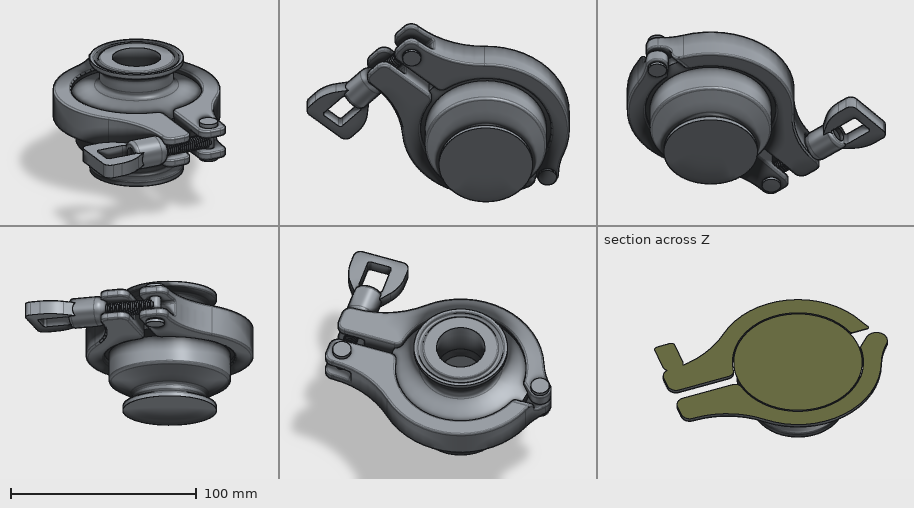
import cadquery as cq
import math

BODY_HEIGHT = 65.0
FERRULE_RADIUS = 50.5 / 2
FERRULE_RIM = 2.7
FERRULE_RIM_FILLET = 0.8
FERRULE_ANGLE = math.radians(20)
NECK_FILLET = 2.0
NECK_RADIUS = 20.0
SHELL_RADIUS = 65.5 / 2
SHELL_CORNER_FILLET = 2.0
LOWER_CONE_ANGLE = math.radians(30)
LOWER_CONE_TIP_Z = 9.2
FLANGE_RADIUS = 77.5 / 2
UPPER_CONE_TIP_Z = 49.85
SHOULDER_FILLET = 4.0
BORE_RADIUS = 26.0 / 2
BORE_SEAT_RADIUS = 22.6 / 2
BORE_DEPTH = 20.0
BORE_SEAT_HEIGHT = 4.0
GASKET_GROOVE_RADIUS = 43.4 / 2
GASKET_GROOVE_HALF_WIDTH = 1.3
GASKET_GROOVE_DEPTH = 1.5
GASKET_GROOVE_LIP = 0.7

CLAMP_THICKNESS = 17.0
CLAMP_MID_Z = 38.5
CLAMP_OUTER_RADIUS = 45.0
CLAMP_OPENING_RADIUS = 35.2
CLAMP_EDGE_FILLET = 1.0
SLIT_HALF_WIDTH = 2.95
SLIT_CORNER_RADIUS = 4.0
LUG_END_X = 72.0
LUG_OUTER_Y = 18.75
LUG_CORNER_RADIUS = 5.0
SHOULDER_X = 66.2
HINGE_X = -45.0
KNUCKLE_RADIUS = 6.0
KNUCKLE_GAP = 2.0
HINGE_FLANK_RADIUS = 37.0
HINGE_CUT_Y = 4.5
HINGE_CUT_END_X = -28.0
HINGE_CUT_UPPER_RADIUS = 4.5
HINGE_CUT_LOWER_RADIUS = 5.1

PIN_RADIUS = 6.0 / 2
PIN_HEAD_RADIUS = 10.0 / 2
PIN_UPPER_HEAD_THICKNESS = 2.25
PIN_LOWER_HEAD_THICKNESS = 1.7
PIN_COLLAR_RADIUS = 4.25
PIN_COLLAR_LENGTH = 0.6

BOLT_X = 63.9
HANDLE_X = 63.6
BOLT_PIVOT_Y = 10.7
BOLT_Z = 38.0
BOLT_SLOT_WIDTH = 8.5
BOLT_SLOT_START_X = 55.9
BOLT_SLOT_CORNER_RADIUS = 1.5
BOLT_SLOT_EDGE_FILLET = 0.8
THREAD_CREST_RADIUS = 7.57 / 2
THREAD_ROOT_RADIUS = 6.5 / 2
THREAD_PITCH = 1.25
BOLT_END_Y = -34.0
NUT_RADIUS = 16.0 / 2
NUT_SEAT_Y = -16.0
NUT_END_Y = -36.3
NUT_SEAT_FILLET = 5.5
NUT_END_FILLET = 1.8
NUT_BORE_RADIUS = 4.3
HANDLE_THICKNESS = 7.4
HANDLE_HALF_WIDTH = 15.4
HANDLE_END_Y = -58.74
HANDLE_CORNER_RADIUS = 4.0
HANDLE_SHOULDER_Y = -49.5
HANDLE_SHOULDER_RADIUS = 20.0
HANDLE_TAPER_ANGLE = math.radians(37)
HANDLE_TOP_Y = -32.0
WINDOW_HALF_WIDTH = 6.65
WINDOW_END_Y = -53.7
WINDOW_CORNER_RADIUS = 1.5

MATCH_TOLERANCE = 1e-4

CLAMP_TOP_Z = CLAMP_MID_Z + CLAMP_THICKNESS / 2
CLAMP_BOTTOM_Z = CLAMP_MID_Z - CLAMP_THICKNESS / 2


def on_circle(center, radius, angle):
    return (center[0] + radius * math.cos(angle), center[1] + radius * math.sin(angle))


def angle_from(center, point):
    return math.atan2(point[1] - center[1], point[0] - center[0])


def arc_to(sketch, center, start_angle, end_angle, radius):
    """Extend the outline along a circular arc between two angles about a centre."""
    middle = on_circle(center, radius, (start_angle + end_angle) / 2)
    return sketch.threePointArc(middle, on_circle(center, radius, end_angle))


def add_neck_fillet(sketch, cone_angle, tip_z, radius, neck_above, neck_first):
    """Round the corner where a cone widens from the neck; tip_z is the sharp corner."""
    side = 1 if neck_above else -1
    setback = radius * math.tan((math.pi / 2 - cone_angle) / 2)
    neck_end = (NECK_RADIUS, tip_z + side * setback)
    center = (NECK_RADIUS + radius, neck_end[1])
    cone_side_angle = -side * (math.pi / 2 + cone_angle)
    neck_side_angle = -side * math.pi
    if neck_first:
        return arc_to(sketch.lineTo(*neck_end), center, neck_side_angle, cone_side_angle, radius)
    sketch = sketch.lineTo(*on_circle(center, radius, cone_side_angle))
    return arc_to(sketch, center, cone_side_angle, neck_side_angle, radius)


def circle_edge(body, radius, z):
    """Select the circular edge of the given radius at the given height."""
    return body.edges("%CIRCLE").filter(
        lambda edge: math.isclose(edge.radius(), radius, rel_tol=MATCH_TOLERANCE)
        and math.isclose(edge.Center().z, z, rel_tol=MATCH_TOLERANCE)
    )


def make_body():
    ferrule_cone_height = (FERRULE_RADIUS - NECK_RADIUS) * math.tan(FERRULE_ANGLE)
    ferrule_tip = FERRULE_RIM + ferrule_cone_height
    flange_half_height = (
        UPPER_CONE_TIP_Z - (FLANGE_RADIUS - NECK_RADIUS) * math.tan(FERRULE_ANGLE) - CLAMP_MID_Z
    )
    flange_bottom = CLAMP_MID_Z - flange_half_height
    shell_top = flange_bottom - (FLANGE_RADIUS - SHELL_RADIUS) * math.tan(FERRULE_ANGLE)
    shell_bottom = LOWER_CONE_TIP_Z + (SHELL_RADIUS - NECK_RADIUS) * math.tan(LOWER_CONE_ANGLE)

    profile = cq.Workplane("XZ").moveTo(0, 0).lineTo(FERRULE_RADIUS, 0)
    profile = profile.lineTo(FERRULE_RADIUS, FERRULE_RIM)
    profile = add_neck_fillet(profile, FERRULE_ANGLE, ferrule_tip, NECK_FILLET, True, False)
    profile = add_neck_fillet(profile, LOWER_CONE_ANGLE, LOWER_CONE_TIP_Z, NECK_FILLET, False, True)
    profile = profile.lineTo(SHELL_RADIUS, shell_bottom).lineTo(SHELL_RADIUS, shell_top)
    profile = profile.lineTo(FLANGE_RADIUS, flange_bottom)
    profile = profile.lineTo(FLANGE_RADIUS, CLAMP_MID_Z + flange_half_height)
    profile = add_neck_fillet(profile, FERRULE_ANGLE, UPPER_CONE_TIP_Z, SHOULDER_FILLET, True, False)
    profile = add_neck_fillet(
        profile, FERRULE_ANGLE, BODY_HEIGHT - ferrule_tip, NECK_FILLET, False, True
    )
    profile = profile.lineTo(FERRULE_RADIUS, BODY_HEIGHT - FERRULE_RIM)
    profile = profile.lineTo(FERRULE_RADIUS, BODY_HEIGHT).lineTo(0, BODY_HEIGHT).close()
    body = profile.revolve(360, (0, 0), (0, 1))

    for z in (FERRULE_RIM, BODY_HEIGHT - FERRULE_RIM):
        body = circle_edge(body, FERRULE_RADIUS, z).fillet(FERRULE_RIM_FILLET)
    return circle_edge(body, SHELL_RADIUS, shell_bottom).fillet(SHELL_CORNER_FILLET)


def make_bore():
    """Round bore from the top face, narrowing to a flat-bottomed seat."""
    floor_z = BODY_HEIGHT - BORE_DEPTH - BORE_SEAT_HEIGHT
    return (
        cq.Workplane("XZ")
        .moveTo(0, BODY_HEIGHT)
        .lineTo(BORE_RADIUS, BODY_HEIGHT)
        .lineTo(BORE_RADIUS, BODY_HEIGHT - BORE_DEPTH)
        .lineTo(BORE_SEAT_RADIUS, floor_z)
        .lineTo(0, floor_z)
        .close()
        .revolve(360, (0, 0), (0, 1))
    )


def cut_gasket_groove(body):
    inner = GASKET_GROOVE_RADIUS - GASKET_GROOVE_HALF_WIDTH
    outer = GASKET_GROOVE_RADIUS + GASKET_GROOVE_HALF_WIDTH
    groove = (
        cq.Workplane("XZ")
        .moveTo(inner, BODY_HEIGHT)
        .threePointArc((GASKET_GROOVE_RADIUS, BODY_HEIGHT - GASKET_GROOVE_DEPTH), (outer, BODY_HEIGHT))
        .close()
        .revolve(360, (0, 0), (0, 1))
    )
    body = body.cut(groove)
    lips = body.faces(">Z").edges(cq.selectors.RadiusNthSelector(0))
    lips = lips.add(body.faces(">Z").edges(cq.selectors.RadiusNthSelector(1)))
    return lips.fillet(GASKET_GROOVE_LIP)


def clamp_half_outline():
    """Outline of the clamp half on the -Y side, with the hinge knuckle at its left end."""
    axis = (0.0, 0.0)
    hinge = (HINGE_X, 0.0)

    knuckle_end = on_circle(hinge, KNUCKLE_RADIUS, math.pi / 4)
    flank_offset = HINGE_X * math.cos(math.pi / 4) + KNUCKLE_RADIUS
    opening_start_angle = math.pi / 4 + math.acos(flank_offset / CLAMP_OPENING_RADIUS)

    corner_y = -SLIT_HALF_WIDTH - SLIT_CORNER_RADIUS
    corner_reach = CLAMP_OPENING_RADIUS + SLIT_CORNER_RADIUS
    corner = (math.sqrt(corner_reach ** 2 - corner_y ** 2), corner_y)
    opening_end_angle = angle_from(axis, corner) + 2 * math.pi

    lug_corner_x = LUG_END_X - LUG_CORNER_RADIUS
    inner_corner = (lug_corner_x, -SLIT_HALF_WIDTH - LUG_CORNER_RADIUS)
    outer_corner = (lug_corner_x, -LUG_OUTER_Y + LUG_CORNER_RADIUS)

    shoulder_radius = (SHOULDER_X ** 2 + LUG_OUTER_Y ** 2 - CLAMP_OUTER_RADIUS ** 2) / (
        2 * (CLAMP_OUTER_RADIUS - LUG_OUTER_Y)
    )
    shoulder = (SHOULDER_X, -LUG_OUTER_Y - shoulder_radius)
    ring_start_angle = angle_from(axis, shoulder)

    to_axis = CLAMP_OUTER_RADIUS + HINGE_FLANK_RADIUS
    to_hinge = KNUCKLE_RADIUS + HINGE_FLANK_RADIUS
    spread = math.acos((to_axis ** 2 + HINGE_X ** 2 - to_hinge ** 2) / (2 * to_axis * -HINGE_X))
    ring_end_angle = spread - math.pi
    flank = on_circle(axis, to_axis, ring_end_angle)
    knuckle_start_angle = angle_from(hinge, flank)

    outline = cq.Workplane("XY").moveTo(*knuckle_end)
    outline = outline.lineTo(*on_circle(axis, CLAMP_OPENING_RADIUS, opening_start_angle))
    outline = arc_to(outline, axis, opening_start_angle, opening_end_angle, CLAMP_OPENING_RADIUS)
    outline = arc_to(outline, corner, angle_from(corner, axis), math.pi / 2, SLIT_CORNER_RADIUS)
    outline = outline.lineTo(lug_corner_x, -SLIT_HALF_WIDTH)
    outline = arc_to(outline, inner_corner, math.pi / 2, 0, LUG_CORNER_RADIUS)
    outline = outline.lineTo(LUG_END_X, outer_corner[1])
    outline = arc_to(outline, outer_corner, 0, -math.pi / 2, LUG_CORNER_RADIUS)
    outline = outline.lineTo(SHOULDER_X, -LUG_OUTER_Y)
    outline = arc_to(outline, shoulder, math.pi / 2, ring_start_angle + math.pi, shoulder_radius)
    outline = arc_to(outline, axis, ring_start_angle, ring_end_angle, CLAMP_OUTER_RADIUS)
    outline = arc_to(
        outline, flank, ring_end_angle + math.pi, knuckle_start_angle + math.pi, HINGE_FLANK_RADIUS
    )
    outline = arc_to(outline, hinge, knuckle_start_angle + 2 * math.pi, math.pi / 4, KNUCKLE_RADIUS)
    return outline.close()


def hinge_cut():
    """S-shaped clearance under the knuckle for the other clamp half."""
    top_z = CLAMP_MID_Z + KNUCKLE_GAP / 2
    upper_center = (-HINGE_CUT_Y, top_z - HINGE_CUT_UPPER_RADIUS)
    lower_center_y = upper_center[0] - HINGE_CUT_UPPER_RADIUS - HINGE_CUT_LOWER_RADIUS
    lower_center = (lower_center_y, upper_center[1])
    lower_angle = -math.asin((upper_center[1] - CLAMP_BOTTOM_Z) / HINGE_CUT_LOWER_RADIUS)
    far_y = 2 * KNUCKLE_RADIUS
    start_x = HINGE_X - 2 * KNUCKLE_RADIUS
    profile = cq.Workplane("YZ", origin=(start_x, 0, 0)).moveTo(far_y, top_z)
    profile = profile.lineTo(-HINGE_CUT_Y, top_z)
    profile = arc_to(profile, upper_center, math.pi / 2, math.pi, HINGE_CUT_UPPER_RADIUS)
    profile = arc_to(profile, lower_center, 0, lower_angle, HINGE_CUT_LOWER_RADIUS)
    profile = profile.lineTo(far_y, CLAMP_BOTTOM_Z).close()
    return profile.extrude(HINGE_CUT_END_X - start_x)


def bolt_slot():
    """Slot through a lug, open at the lug end, in which the bolt swings."""
    length = LUG_END_X - BOLT_SLOT_START_X
    center = (BOLT_SLOT_START_X + length / 2, -LUG_OUTER_Y / 2, CLAMP_MID_Z)
    slot = cq.Workplane("XY").box(length, 2 * LUG_OUTER_Y, BOLT_SLOT_WIDTH).translate(center)
    return slot.edges("|Y and <X").fillet(BOLT_SLOT_CORNER_RADIUS)


def make_clamp_half():
    half = clamp_half_outline().extrude(CLAMP_THICKNESS).translate((0, 0, CLAMP_BOTTOM_Z))
    half = half.cut(hinge_cut())
    flat_face_edges = half.faces(">Z or <Z").edges()
    hinge_cut_edges = half.edges("not (|X or |Z)").filter(
        lambda edge: CLAMP_BOTTOM_Z < edge.Center().z - CLAMP_EDGE_FILLET < CLAMP_MID_Z
    )
    half = flat_face_edges.add(hinge_cut_edges).fillet(CLAMP_EDGE_FILLET)

    half = half.cut(bolt_slot())
    slot_rim = half.edges("not |Y").filter(
        lambda edge: edge.Center().x >= BOLT_SLOT_START_X
        and abs(edge.Center().z - CLAMP_MID_Z) <= BOLT_SLOT_WIDTH / 2
        and edge.BoundingBox().zlen < BOLT_SLOT_WIDTH
    )
    return slot_rim.fillet(BOLT_SLOT_EDGE_FILLET)


def make_pin(x, y):
    """Headed pin; its lower head stands off the clamp on a short collar."""
    lower_head_top = CLAMP_BOTTOM_Z - PIN_COLLAR_LENGTH
    lower_head_bottom = lower_head_top - PIN_LOWER_HEAD_THICKNESS

    def disk(radius, bottom_z, top_z):
        return cq.Workplane("XY", origin=(x, y, bottom_z)).circle(radius).extrude(top_z - bottom_z)

    pin = disk(PIN_RADIUS, lower_head_bottom, CLAMP_TOP_Z)
    pin = pin.union(disk(PIN_HEAD_RADIUS, CLAMP_TOP_Z, CLAMP_TOP_Z + PIN_UPPER_HEAD_THICKNESS))
    pin = pin.union(disk(PIN_COLLAR_RADIUS, lower_head_top, CLAMP_BOTTOM_Z))
    return pin.union(disk(PIN_HEAD_RADIUS, lower_head_bottom, lower_head_top))


def make_bolt():
    """Bolt along Y with ring-shaped thread ridges."""
    ridges = int((BOLT_PIVOT_Y - BOLT_END_Y) / THREAD_PITCH)
    profile = cq.Workplane("XY", origin=(BOLT_X, 0, BOLT_Z)).moveTo(0, BOLT_END_Y)
    profile = profile.lineTo(THREAD_ROOT_RADIUS, BOLT_END_Y)
    for ridge in range(ridges):
        root_y = BOLT_END_Y + ridge * THREAD_PITCH
        profile = profile.lineTo(THREAD_CREST_RADIUS, root_y + THREAD_PITCH / 2)
        profile = profile.lineTo(THREAD_ROOT_RADIUS, root_y + THREAD_PITCH)
    profile = profile.lineTo(THREAD_ROOT_RADIUS, BOLT_PIVOT_Y).lineTo(0, BOLT_PIVOT_Y).close()
    return profile.revolve(360, (0, 0), (0, 1))


def make_nut():
    nut = (
        cq.Workplane("XZ", origin=(BOLT_X, NUT_SEAT_Y, BOLT_Z))
        .circle(NUT_RADIUS)
        .extrude(NUT_SEAT_Y - NUT_END_Y)
    )
    nut = nut.faces(">Y").edges().fillet(NUT_SEAT_FILLET)
    return nut.faces("<Y").edges().fillet(NUT_END_FILLET)


def make_nut_bore():
    return (
        cq.Workplane("XZ", origin=(BOLT_X, BOLT_END_Y, BOLT_Z))
        .circle(NUT_BORE_RADIUS)
        .extrude(BOLT_END_Y - NUT_END_Y)
    )


def make_handle():
    """Flat key-shaped grip with a rectangular window next to the nut end."""
    arc_center_x = HANDLE_HALF_WIDTH - HANDLE_SHOULDER_RADIUS
    right_center = (arc_center_x, HANDLE_SHOULDER_Y)
    left_center = (-arc_center_x, HANDLE_SHOULDER_Y)
    arc_end = on_circle(right_center, HANDLE_SHOULDER_RADIUS, HANDLE_TAPER_ANGLE)
    top_half_width = arc_end[0] - (HANDLE_TOP_Y - arc_end[1]) * math.tan(HANDLE_TAPER_ANGLE)

    bottom_z = BOLT_Z - HANDLE_THICKNESS / 2
    grip = cq.Workplane("XY", origin=(HANDLE_X, 0, bottom_z)).moveTo(-HANDLE_HALF_WIDTH, HANDLE_END_Y)
    grip = grip.lineTo(HANDLE_HALF_WIDTH, HANDLE_END_Y).lineTo(HANDLE_HALF_WIDTH, HANDLE_SHOULDER_Y)
    grip = arc_to(grip, right_center, 0, HANDLE_TAPER_ANGLE, HANDLE_SHOULDER_RADIUS)
    grip = grip.lineTo(top_half_width, HANDLE_TOP_Y).lineTo(-top_half_width, HANDLE_TOP_Y)
    grip = grip.lineTo(-arc_end[0], arc_end[1])
    grip = arc_to(grip, left_center, math.pi - HANDLE_TAPER_ANGLE, math.pi, HANDLE_SHOULDER_RADIUS)
    grip = grip.close().extrude(HANDLE_THICKNESS)
    grip = grip.edges("|Z and <Y").fillet(HANDLE_CORNER_RADIUS)

    window = (
        cq.Workplane("XY", origin=(HANDLE_X, (NUT_END_Y + WINDOW_END_Y) / 2, bottom_z))
        .rect(2 * WINDOW_HALF_WIDTH, NUT_END_Y - WINDOW_END_Y)
        .extrude(HANDLE_THICKNESS)
        .edges("|Z")
        .fillet(WINDOW_CORNER_RADIUS)
    )
    return grip.cut(window)


body = cut_gasket_groove(make_body()).cut(make_bore())
near_half = make_clamp_half()
far_half = near_half.rotate((0, 0, CLAMP_MID_Z), (1, 0, CLAMP_MID_Z), 180)
hinge_pin = make_pin(HINGE_X, 0)
bolt_pin = make_pin(BOLT_X, BOLT_PIVOT_Y)
handle = make_nut().union(make_handle()).cut(make_nut_bore())

result = body.union(near_half).union(far_half).union(hinge_pin).union(bolt_pin)
result = result.union(handle).union(make_bolt())